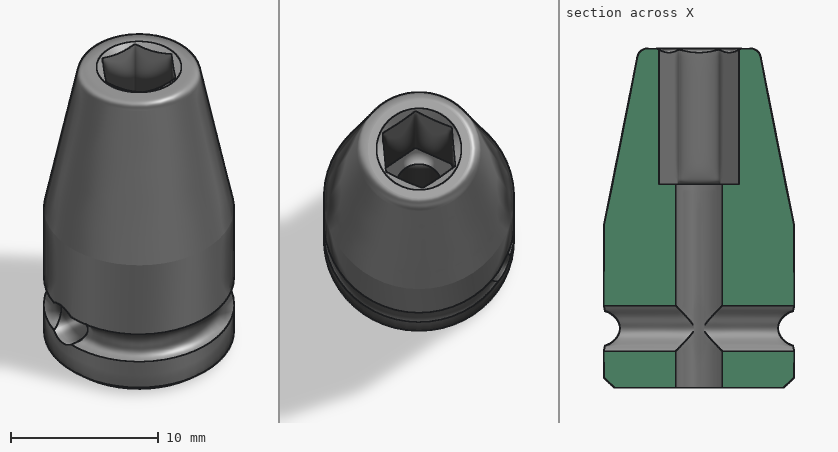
import cadquery as cq
import math

height = 23.0
body_diameter = 12.9
taper_start = 11.05
tip_radius = 4.07
tip_fillet = 0.74
base_chamfer_height = 0.7
base_chamfer_width = 0.74

groove_bottom = 2.88
groove_top = 5.2
groove_depth = 0.87
pin_hole_diameter = 3.05

hex_across_flats = 4.72
hex_corner_radius = 0.18
hex_depth = 9.2
lead_in_diameter = 5.75
lead_in_slope = 30.0
bore_diameter = 3.13

body_radius = body_diameter / 2
groove_middle = (groove_bottom + groove_top) / 2
hex_across_corners = hex_across_flats / math.cos(math.pi / 6)
lead_in_radius = lead_in_diameter / 2
lead_in_depth = lead_in_radius * math.tan(math.radians(lead_in_slope))


def make_body():
    """Revolved outer shape with base chamfer, groove, taper and rounded tip."""
    body = (
        cq.Workplane("XZ")
        .lineTo(body_radius - base_chamfer_width, 0)
        .lineTo(body_radius, base_chamfer_height)
        .lineTo(body_radius, groove_bottom)
        .threePointArc((body_radius - groove_depth, groove_middle), (body_radius, groove_top))
        .lineTo(body_radius, taper_start)
        .lineTo(tip_radius, height)
        .lineTo(0, height)
        .close()
        .revolve(360, (0, 0, 0), (0, 1, 0))
    )
    return body.faces(">Z").edges().fillet(tip_fillet)


def make_socket():
    """Hexagonal pocket with two corners facing +Y and -Y, and a conical lead-in."""
    hexagon = (
        cq.Workplane("XY", origin=(0, 0, height))
        .transformed(rotate=(0, 0, 90))
        .polygon(6, hex_across_corners)
        .extrude(-hex_depth)
        .edges("|Z")
        .fillet(hex_corner_radius)
    )
    lead_in = (
        cq.Workplane("XZ")
        .moveTo(0, height)
        .lineTo(lead_in_radius, height)
        .lineTo(0, height - lead_in_depth)
        .close()
        .revolve(360, (0, 0, 0), (0, 1, 0))
    )
    return hexagon.union(lead_in)


def make_bore():
    """Round hole along the axis, through the full height."""
    return cq.Workplane("XY").circle(bore_diameter / 2).extrude(height)


def make_pin_hole():
    """Cross hole along Y, centred on the groove."""
    return (
        cq.Workplane("XZ", origin=(0, 0, groove_middle))
        .circle(pin_hole_diameter / 2)
        .extrude(body_radius, both=True)
    )


result = make_body().cut(make_socket()).cut(make_bore()).cut(make_pin_hole())